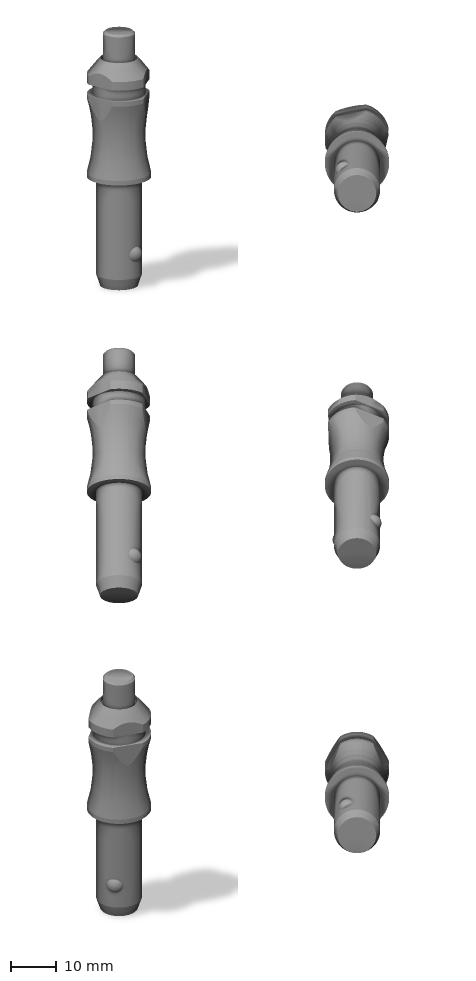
import cadquery as cq
import math

total_height = 57.7
tip_chamfer_height = 2.6
ball_height = 7.95
handle_bottom = 24.65
handle_top = 43.55
handle_band = 1.05
collar_bottom = 46.15
collar_cone_start = 48.1
shoulder_height = 50.7
collar_top = 51.6

shank_radius = 5.0
tip_radius = 4.15
handle_radius = 7.01
neck_radius = 5.75
shoulder_radius = 4.95
collar_top_radius = 4.2
button_bore_radius = 4.05
button_radius = 3.5
button_chamfer = 0.45

button_bore_depth = 0.85
flat_distance = 6.1
flat_count = 3
ball_radius = 1.9
ball_reach = 6.0

waist_height = (handle_bottom + handle_top) / 2
grip_half_height = (handle_top - handle_bottom) / 2 - handle_band
flare = handle_radius - neck_radius
grip_arc_radius = (grip_half_height**2 + flare**2) / (2 * flare)
grip_mid_height = grip_half_height / 2
grip_mid_radius = neck_radius + grip_arc_radius - math.sqrt(grip_arc_radius**2 - grip_mid_height**2)


def make_body():
    """Revolve the shank, grip, groove and collar as one profile."""
    return (
        cq.Workplane("XZ")
        .moveTo(0, 0)
        .lineTo(tip_radius, 0)
        .lineTo(shank_radius, tip_chamfer_height)
        .lineTo(shank_radius, handle_bottom)
        .lineTo(handle_radius, handle_bottom)
        .lineTo(handle_radius, waist_height - grip_half_height)
        .threePointArc((grip_mid_radius, waist_height - grip_mid_height), (neck_radius, waist_height))
        .threePointArc(
            (grip_mid_radius, waist_height + grip_mid_height),
            (handle_radius, waist_height + grip_half_height),
        )
        .lineTo(handle_radius, handle_top)
        .lineTo(neck_radius, handle_top)
        .lineTo(neck_radius, collar_bottom)
        .lineTo(handle_radius, collar_bottom)
        .lineTo(handle_radius, collar_cone_start)
        .lineTo(shoulder_radius, shoulder_height)
        .lineTo(collar_top_radius, collar_top)
        .lineTo(0, collar_top)
        .close()
        .revolve(360, (0, 0, 0), (0, 1, 0))
    )


def cut_flats(body):
    """Cut the flats, evenly spaced from -Y, into the collar and the upper half of the grip."""
    cutter = cq.Workplane("XY").box(
        2 * handle_radius,
        handle_radius,
        total_height - waist_height,
        centered=(True, False, False),
    ).translate((0, flat_distance, waist_height))
    for index in range(flat_count):
        angle = 180 + index * 360 / flat_count
        body = body.cut(cutter.rotate((0, 0, 0), (0, 0, 1), angle))
    return body


def add_button(body):
    """Sink a clearance bore into the collar and stand the release button in it."""
    bore_floor = collar_top - button_bore_depth
    bore = cq.Workplane("XY").workplane(offset=bore_floor).circle(button_bore_radius).extrude(button_bore_depth)
    button = (
        cq.Workplane("XY")
        .workplane(offset=bore_floor)
        .circle(button_radius)
        .extrude(total_height - bore_floor)
        .faces(">Z")
        .chamfer(button_chamfer)
    )
    return body.cut(bore).union(button)


def add_locking_balls(body):
    """Add one ball on each side of the shank along X."""
    for side in (-1, 1):
        center_x = side * (ball_reach - ball_radius)
        ball = cq.Workplane("XY").sphere(ball_radius).translate((center_x, 0, ball_height))
        body = body.union(ball)
    return body


result = add_locking_balls(add_button(cut_flats(make_body())))